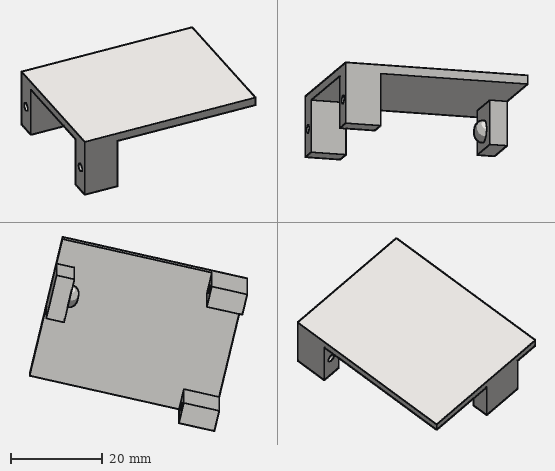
import cadquery as cq

width = 31.9
length = 41.65
height = 13.8
plate_thickness = 2.0

leg_width = 4.75
leg_depth = 8.0
hole_diameter = 1.85
hole_inset = 2.25
axis_drop = 7.9

block_size = 10.05
block_depth = 4.0
block_offset = 5.7
button_radius = 2.5
button_height = 1.95
button_rim_radius = 1.9

underside = height - plate_thickness
axis_height = height - axis_drop
block_front = length - block_depth


def box(size_x, size_y, size_z, corner):
    """Box with its lowest corner at the given point."""
    return cq.Workplane("XY").box(size_x, size_y, size_z, centered=False).translate(corner)


def leg(left_side, hole_x):
    """Front leg drilled from front to back."""
    body = box(leg_width, leg_depth, underside, (left_side, 0, 0))
    hole = (
        cq.Workplane("XZ", origin=(hole_x, 0, axis_height))
        .circle(hole_diameter / 2)
        .extrude(-leg_depth)
    )
    return body.cut(hole)


def button():
    """Short cylinder pointing toward -Y with a fully rounded rim."""
    center = (block_offset + block_size / 2, block_front, axis_height)
    return (
        cq.Workplane("XZ", origin=center)
        .circle(button_radius)
        .extrude(button_height)
        .faces("<Y")
        .edges()
        .fillet(button_rim_radius)
    )


plate = box(width, length, plate_thickness, (0, 0, underside))
block = box(block_size, block_depth, block_size, (block_offset, block_front, underside - block_size))

result = (
    plate
    .union(leg(0, hole_inset))
    .union(leg(width - leg_width, width - hole_inset))
    .union(block)
    .union(button())
)